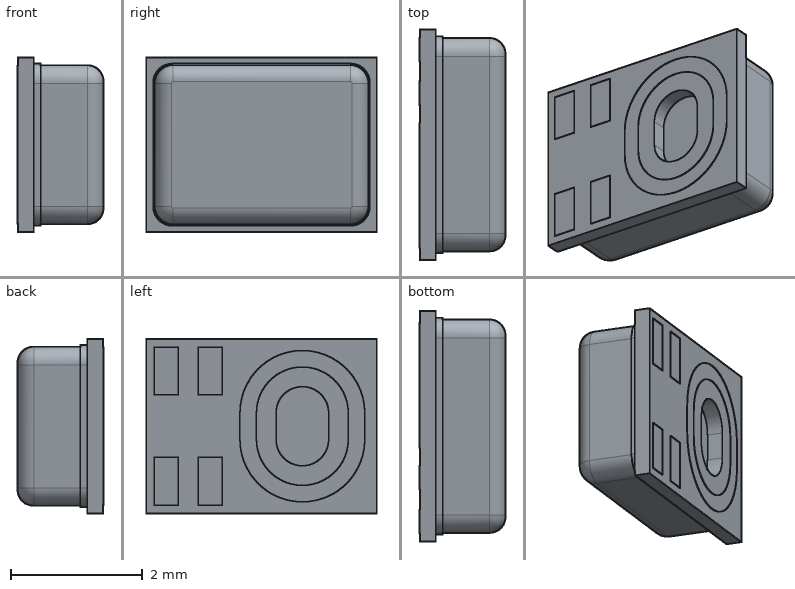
import cadquery as cq

BOARD_LENGTH = 3.5
BOARD_HEIGHT = 2.65
BOARD_THICKNESS = 0.245

CONTACT_THICKNESS = 0.007
PAD_WIDTH = 0.36
PAD_HEIGHT = 0.725
PAD_EDGE_MARGIN = 0.125
PAD_PITCH = 0.665

PORT_CENTRE_Y = -0.62
PORT_STRAIGHT = 0.402
PORT_WIDTH = 0.798
RING_INNER_WIDTH = 1.393
RING_OUTER_WIDTH = 1.895

LID_LENGTH = 3.24
LID_HEIGHT = 2.415
LID_DEPTH = 1.057
LID_CORNER_RADIUS = 0.275
LID_END_RADIUS = 0.25

BEAD_WIDTH = 0.025
BEAD_DEPTH = 0.1


def rounded_block(length, height, depth, corner_radius):
    """Block standing on the inner face of the board, with rounded corners in the YZ plane."""
    return (
        cq.Workplane("YZ", origin=(BOARD_THICKNESS, 0, 0))
        .rect(length, height)
        .extrude(depth)
        .edges("|X")
        .fillet(corner_radius)
    )


def upright_slot(width, start_x, depth):
    """Round-ended prism along +X, centred on the port with its long side along Z."""
    return (
        cq.Workplane("YZ", origin=(start_x, PORT_CENTRE_Y, 0))
        .slot2D(PORT_STRAIGHT + width, width, 90)
        .extrude(depth)
    )


def make_contact_pads():
    """Four rectangular pads in two columns at the +Y end of the board."""
    first_column_y = BOARD_LENGTH / 2 - PAD_EDGE_MARGIN - PAD_WIDTH / 2
    row_z = BOARD_HEIGHT / 2 - PAD_EDGE_MARGIN - PAD_HEIGHT / 2
    centres = [(y, z) for y in (first_column_y, first_column_y - PAD_PITCH) for z in (-row_z, row_z)]
    return (
        cq.Workplane("YZ", origin=(-CONTACT_THICKNESS, 0, 0))
        .pushPoints(centres)
        .rect(PAD_WIDTH, PAD_HEIGHT)
        .extrude(CONTACT_THICKNESS)
    )


def make_contact_ring():
    """Raised ring around the port."""
    outer = upright_slot(RING_OUTER_WIDTH, -CONTACT_THICKNESS, CONTACT_THICKNESS)
    inner = upright_slot(RING_INNER_WIDTH, -CONTACT_THICKNESS, CONTACT_THICKNESS)
    return outer.cut(inner)


def make_board():
    """Plate with the port cut through it, together with its raised contacts."""
    plate = cq.Workplane("YZ").rect(BOARD_LENGTH, BOARD_HEIGHT).extrude(BOARD_THICKNESS)
    port = upright_slot(PORT_WIDTH, 0, BOARD_THICKNESS)
    return plate.cut(port).union(make_contact_pads()).union(make_contact_ring())


def make_lid():
    """Rounded block with its far edge rounded over."""
    block = rounded_block(LID_LENGTH, LID_HEIGHT, LID_DEPTH, LID_CORNER_RADIUS)
    return block.faces(">X").edges().fillet(LID_END_RADIUS)


def make_bead():
    """Frame that hugs the foot of the lid with an even width."""
    outer = rounded_block(
        LID_LENGTH + 2 * BEAD_WIDTH,
        LID_HEIGHT + 2 * BEAD_WIDTH,
        BEAD_DEPTH,
        LID_CORNER_RADIUS + BEAD_WIDTH,
    )
    return outer.cut(rounded_block(LID_LENGTH, LID_HEIGHT, BEAD_DEPTH, LID_CORNER_RADIUS))


board = make_board()
lid = make_lid()
bead = make_bead()

result = cq.Compound.makeCompound([board.val(), lid.val(), bead.val()])